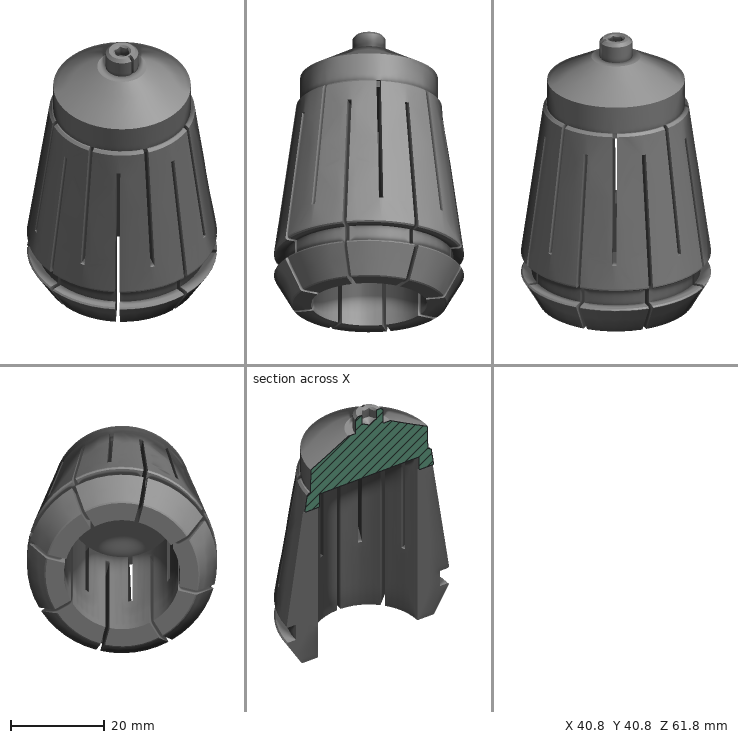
import cadquery as cq
import math

max_radius = 40.86 / 2
body_height = 46.0
taper_angle = 8.0
front_cone_angle = 30.0
front_cone_top = 6.6
groove_bottom = 7.0
groove_top = 11.1
groove_radius = 18.15
taper_bottom = 11.7
rim_edge_size = 0.3
front_edge_size = 0.2
top_edge_size = 0.5
bore_radius = 25.0 / 2

slot_count = 8
slot_width = 0.95
cutter_overrun = 1.0
long_slot_top = 41.1
short_slot_bottom = 17.0

cap_radius = 29.6 / 2
spigot_radius = 14.3
cap_bottom = 44.6
cap_cone_bottom = 52.1
cap_top = 57.5
cap_top_radius = 5.3

screw_radius = 3.5
screw_top = 61.8
screw_edge_size = 0.65
socket_flats = 3.0
socket_depth = 2.5
socket_mouth_radius = 3.9 / 2
socket_point_slope = 30.0
notch_width = 0.8
notch_inner = 2.3
notch_outer = 3.3


def revolve_profile(points):
    """Revolve an (r, z) outline around the Z axis."""
    return cq.Workplane("XZ").polyline(points).close().revolve(360, (0, 0, 0), (0, 1, 0))


def radius_on_taper(z):
    return max_radius - (z - taper_bottom) * math.tan(math.radians(taper_angle))


def radius_on_front_cone(z):
    return max_radius - (front_cone_top - z) * math.tan(math.radians(front_cone_angle))


def radial_slot(angle, inner, outer, bottom, top, width):
    """Straight cutter running outward from the axis at the given angle."""
    cutter = cq.Workplane("XY").box(outer - inner, width, top - bottom, centered=(False, True, False))
    return cutter.translate((inner, 0, bottom)).rotate((0, 0, 0), (0, 0, 1), angle)


def make_body():
    top_edge_z = body_height - top_edge_size
    outline = [
        (bore_radius, 0),
        (radius_on_front_cone(0) - front_edge_size, 0),
        (radius_on_front_cone(front_edge_size), front_edge_size),
        (max_radius, front_cone_top),
        (max_radius, groove_bottom - rim_edge_size),
        (max_radius - rim_edge_size, groove_bottom),
        (groove_radius, groove_bottom),
        (groove_radius, groove_top),
        (max_radius - rim_edge_size, groove_top),
        (max_radius, groove_top + rim_edge_size),
        (max_radius, taper_bottom),
        (radius_on_taper(top_edge_z), top_edge_z),
        (radius_on_taper(body_height) - top_edge_size, body_height),
        (bore_radius, body_height),
    ]
    return revolve_profile(outline)


def cut_slots(body):
    pitch = 360 / slot_count
    outer = max_radius + cutter_overrun
    for i in range(slot_count):
        body = body.cut(radial_slot(i * pitch, 0, outer, 0, long_slot_top, slot_width))
        short_angle = (i + 0.5) * pitch
        body = body.cut(radial_slot(short_angle, 0, outer, short_slot_bottom, body_height, slot_width))
    return body


def make_cap():
    return revolve_profile([
        (0, cap_bottom),
        (spigot_radius, cap_bottom),
        (spigot_radius, body_height),
        (cap_radius, body_height),
        (cap_radius, cap_cone_bottom),
        (cap_top_radius, cap_top),
        (0, cap_top),
    ])


def make_screw():
    height = screw_top - cap_top
    screw = cq.Workplane("XY").workplane(offset=cap_top).circle(screw_radius).extrude(height)
    return screw.faces(">Z").chamfer(screw_edge_size)


def make_socket():
    """Hex socket with corners along Y, a countersunk mouth and a drill-point floor."""
    corner_turn = 30
    hex_radius = socket_flats / math.sqrt(3)
    floor_z = screw_top - socket_depth
    hexagon = cq.Workplane("XY").workplane(offset=floor_z).polygon(6, 2 * hex_radius).extrude(socket_depth)
    hexagon = hexagon.rotate((0, 0, 0), (0, 0, 1), corner_turn)
    drill_radius = socket_flats / 2
    point_depth = drill_radius * math.tan(math.radians(socket_point_slope))
    drill_point = revolve_profile([(0, floor_z), (drill_radius, floor_z), (0, floor_z - point_depth)])
    mouth = revolve_profile([
        (0, screw_top),
        (socket_mouth_radius, screw_top),
        (0, screw_top - socket_mouth_radius),
    ])
    return hexagon.union(drill_point).union(mouth)


def make_notch():
    """Keyway along the +X side of the screw, open into the bore below."""
    lower = radial_slot(0, notch_inner, notch_outer, cap_bottom, cap_top, notch_width)
    upper = radial_slot(0, notch_inner, screw_radius, cap_top, screw_top, notch_width)
    return lower.union(upper)


collet = cut_slots(make_body())
result = collet.union(make_cap()).union(make_screw())
result = result.cut(make_socket()).cut(make_notch())